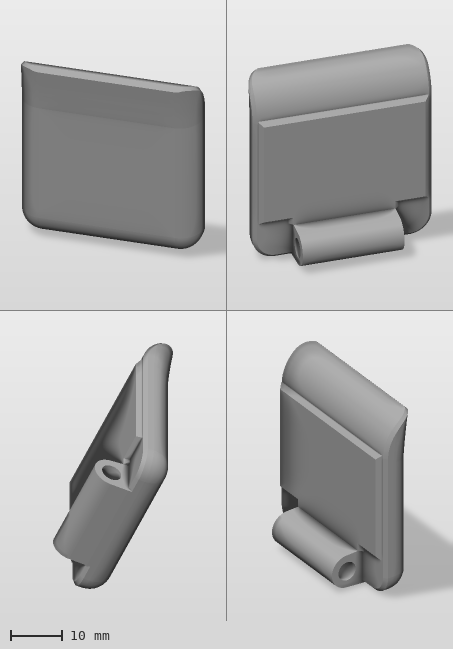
import cadquery as cq
import math

width = 36.0
thickness = 6.47
edge_radius = 4.5
rim_chamfer = 0.7

lip_start_z = 29.7
lip_middle = (-6.9, 34.35)
lip_corner = (-7.6, 39.65)
tip_front = (-7.5, 38.52)
tip_back = (-6.6, 39.45)
tip_cut_depth = 1.97
back_curve_start_z = 31.02

pad_width = 34.2
pad_height = 1.05
pad_bottom_z = 8.33
pad_top_z = 31.58
pad_chamfer = 0.83

lug_width = 20.45
lug_reach = 7.05
lug_radius = lug_reach / 2
lug_center_y = lug_reach - lug_radius
lug_root_z = 7.5
lug_center_z = lug_root_z / 2
hole_diameter = 4.0

neck_width = lug_width + 2 * pad_chamfer


def extrude_across(profile, length):
    """Extrude a YZ profile symmetrically about x = 0."""
    return profile.extrude(length / 2, both=True)


def make_body():
    reach = -lip_corner[0]
    rise = lip_corner[1] - back_curve_start_z
    curve_radius = (reach**2 + rise**2) / (2 * reach)
    half_angle = math.atan2(rise, curve_radius - reach) / 2
    curve_middle = (
        curve_radius * (math.cos(half_angle) - 1),
        back_curve_start_z + curve_radius * math.sin(half_angle),
    )
    profile = (
        cq.Workplane("YZ")
        .moveTo(0, 0)
        .lineTo(-thickness, 0)
        .lineTo(-thickness, lip_start_z)
        .threePointArc(lip_middle, lip_corner)
        .threePointArc(curve_middle, (0, back_curve_start_z))
        .close()
    )
    body = extrude_across(profile, width)
    body = body.faces("<Z").edges("|Y").fillet(edge_radius)
    front_edge = cq.selectors.NearestToPointSelector((0, -thickness, 0))
    body = body.edges(front_edge).fillet(edge_radius)
    return body.faces(">Y").edges("<Z").chamfer(rim_chamfer).cut(make_tip_cutter())


def make_tip_cutter():
    """Block outside the bevel plane that widens the rim chamfer at the lip tip."""
    along_y = tip_back[0] - tip_front[0]
    along_z = tip_back[1] - tip_front[1]
    bevel_length = math.hypot(along_y, along_z)
    bevel = cq.Plane(
        origin=(0, (tip_front[0] + tip_back[0]) / 2, (tip_front[1] + tip_back[1]) / 2),
        xDir=(1, 0, 0),
        normal=(0, -along_z / bevel_length, along_y / bevel_length),
    )
    cutter = cq.Workplane(bevel).rect(width, bevel_length + 2 * tip_cut_depth)
    return cutter.extrude(tip_cut_depth)


def upright_plate(plate_width, bottom_z, top_z):
    """Plate standing against the back face, as thick as the pad."""
    plate = cq.Workplane("XY").box(
        plate_width, pad_height, top_z - bottom_z, centered=(True, False, False)
    )
    return plate.translate((0, 0, bottom_z))


def make_pad():
    """Wide chamfered pad with a narrow neck running down to the lug."""
    pad = upright_plate(pad_width, pad_bottom_z, pad_top_z).faces(">Y").edges().chamfer(pad_chamfer)
    neck_top_z = pad_bottom_z + 2 * pad_chamfer
    neck = upright_plate(neck_width, lug_root_z, neck_top_z)
    neck = neck.faces(">Y").edges("|Z").chamfer(pad_chamfer)
    return pad.union(neck)


def make_lug():
    root_distance = math.hypot(lug_center_y, lug_center_z)
    flank_angle = math.atan2(lug_center_z, -lug_center_y) - math.acos(lug_radius / root_distance)
    tangent_y = lug_center_y + lug_radius * math.cos(flank_angle)
    tangent_rise = lug_radius * math.sin(flank_angle)
    profile = (
        cq.Workplane("YZ")
        .moveTo(-rim_chamfer, 0)
        .lineTo(0, 0)
        .lineTo(tangent_y, lug_center_z - tangent_rise)
        .threePointArc((lug_center_y + lug_radius, lug_center_z), (tangent_y, lug_center_z + tangent_rise))
        .lineTo(0, lug_root_z)
        .lineTo(-rim_chamfer, lug_root_z)
        .close()
        .moveTo(lug_center_y, lug_center_z)
        .circle(hole_diameter / 2)
    )
    return extrude_across(profile, lug_width)


result = make_body().union(make_pad()).union(make_lug())